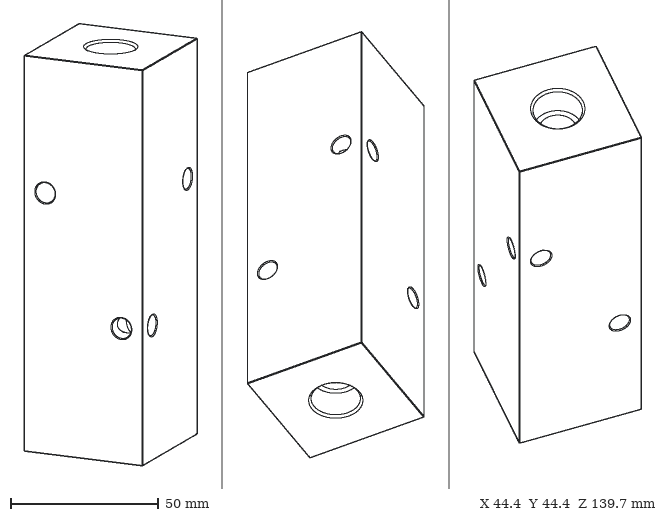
import cadquery as cq

width = 44.4
length = 139.7
edge_chamfer = 0.25

bore_diameter = 12.7
port_diameter = 16.8
port_depth = 10.5
port_rim_diameter = 18.5

hole_diameter = 7.1
hole_rim_diameter = 7.8
hole_offset = 14.2
hole_height = width / 2


def countersunk_cylinder(diameter, depth, rim_diameter):
    """Cutter along +Z from z = 0, with a 45 degree flare at z = 0."""
    flare = (rim_diameter - diameter) / 2
    return (
        cq.Workplane("XZ")
        .moveTo(0, 0)
        .lineTo(rim_diameter / 2, 0)
        .lineTo(diameter / 2, flare)
        .lineTo(diameter / 2, depth)
        .lineTo(0, depth)
        .close()
        .revolve(360, (0, 0, 0), (0, 1, 0))
    )


def both_ends(cutter, span):
    """Place a cutter at z = -span / 2 and its mirror image at z = span / 2."""
    lower = cutter.translate((0, 0, -span / 2))
    return lower.union(lower.mirror("XY"))


def make_block():
    return cq.Workplane("XY").box(width, width, length).edges().chamfer(edge_chamfer)


def make_bore():
    port = countersunk_cylinder(port_diameter, port_depth, port_rim_diameter)
    bore = cq.Workplane("XY").circle(bore_diameter / 2).extrude(length / 2, both=True)
    return bore.union(both_ends(port, length))


def make_mounting_holes():
    """Along X and along Y: one hole above mid-height and one below, on opposite sides."""
    half_hole = countersunk_cylinder(hole_diameter, width / 2, hole_rim_diameter)
    through_hole = both_ends(half_hole, width)
    hole_along_x = through_hole.rotate((0, 0, 0), (0, 1, 0), 90)
    hole_along_y = through_hole.rotate((0, 0, 0), (1, 0, 0), 90)
    holes = []
    for side in (1, -1):
        holes.append(hole_along_x.translate((0, side * hole_offset, side * hole_height)))
        holes.append(hole_along_y.translate((-side * hole_offset, 0, side * hole_height)))
    return holes


result = make_block().cut(make_bore())
for hole in make_mounting_holes():
    result = result.cut(hole)